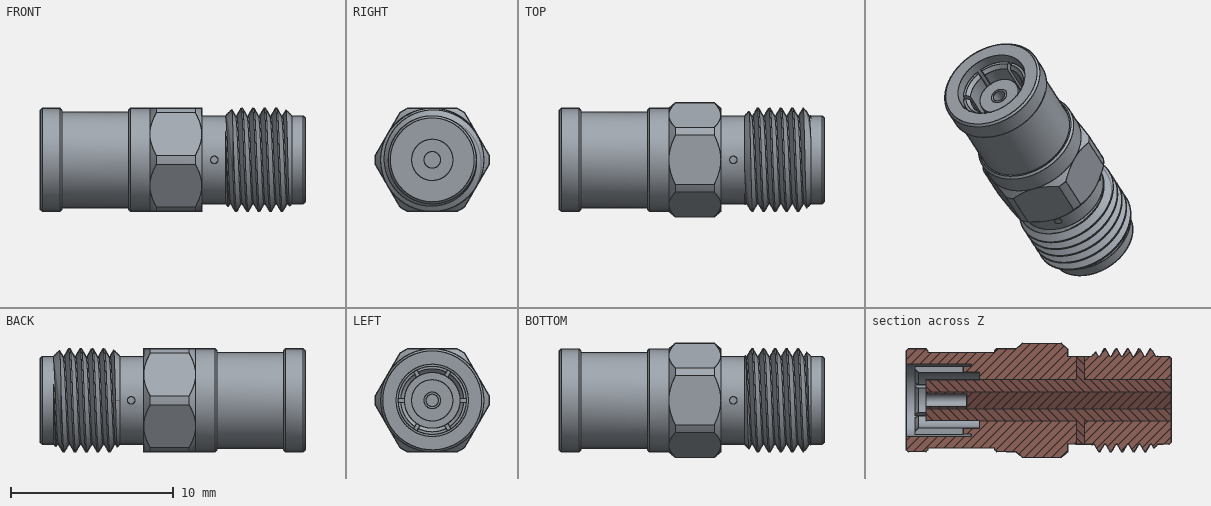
import cadquery as cq
import math


total_length = 16.31
flange_end = 1.35
collar_start = 5.42
hex_start = 6.75
hex_end = 9.94
thread_start = 11.4
thread_end = 15.48

flange_diameter = 6.35
barrel_diameter = 5.91
neck_diameter = 5.42
hex_across_flats = 6.35
hex_corner_diameter = 7.04
hex_chamfer_length = 0.4
edge_chamfer = 0.13

thread_diameter = 6.35
thread_pitch = 25.4 / 36
thread_crest_width = thread_pitch / 8
thread_half_angle = math.radians(30)
thread_crest_at_top = 12.4
thread_root_overlap = 0.03
taper_clearance = 0.2

socket_diameter = 4.45
finger_outer_diameter = 4.19
finger_tip_diameter = 3.87
finger_bore_diameter = 3.43
finger_tip = 0.53
finger_gap_end = 4.0
finger_bore_end = 4.5
finger_slot_end = 3.5
finger_slot_width = 0.25
finger_slot_count = 6

insulator_diameter = 2.54
insulator_start = 1.22
plug_diameter = 0.46
plug_x = 10.71
plug_count = 4
contact_diameter = 1.02
contact_bore_diameter = 0.76
contact_bore_depth = 2.5


def cylinder(diameter, start, end):
    """Solid cylinder on the X axis."""
    return cq.Workplane("YZ", origin=(start, 0, 0)).circle(diameter / 2).extrude(end - start)


def revolved(outline):
    """Solid of revolution about X from (x, radius) points."""
    return cq.Workplane("XY").polyline(outline).close().revolve(360, (0, 0, 0), (1, 0, 0))


def outer_shell():
    """Flange, barrel, collar and neck, turned in one piece."""
    flange = cylinder(flange_diameter, 0, flange_end).edges().chamfer(edge_chamfer)
    barrel = cylinder(barrel_diameter, flange_end, collar_start)
    collar = cylinder(flange_diameter, collar_start, hex_start).faces("<X").edges().chamfer(edge_chamfer)
    neck = cylinder(neck_diameter, hex_start, total_length).faces(">X").edges().chamfer(edge_chamfer)
    return flange.union(barrel).union(collar).union(neck)


def hex_nut():
    """Hexagon with flats facing +Z and -Z, its corners turned down and coned at both ends."""
    corner_to_corner = hex_across_flats / math.cos(math.pi / 6)
    prism = (
        cq.Workplane("YZ", origin=(hex_start, 0, 0))
        .polygon(6, corner_to_corner)
        .extrude(hex_end - hex_start)
    )
    end_radius = hex_across_flats / 2
    corner_radius = hex_corner_diameter / 2
    turned = revolved([
        (hex_start, 0),
        (hex_start, end_radius),
        (hex_start + hex_chamfer_length, corner_radius),
        (hex_end - hex_chamfer_length, corner_radius),
        (hex_end, end_radius),
        (hex_end, 0),
    ])
    return prism.intersect(turned)


def thread():
    """Right-hand helical ridge, tapered off at 45 degrees at both ends."""
    crest_radius = thread_diameter / 2
    foot_radius = neck_diameter / 2 - thread_root_overlap
    thread_height = crest_radius - foot_radius
    half_crest = thread_crest_width / 2
    half_foot = half_crest + thread_height * math.tan(thread_half_angle)

    turns_before = math.ceil((thread_crest_at_top - thread_start) / thread_pitch) + 1
    turns_after = math.ceil((thread_end - thread_crest_at_top) / thread_pitch) + 1
    helix_length = (turns_before + turns_after) * thread_pitch
    ridge_start = thread_crest_at_top - turns_before * thread_pitch

    corners = [
        (foot_radius, -half_foot),
        (crest_radius, -half_crest),
        (crest_radius, half_crest),
        (foot_radius, half_foot),
    ]
    edges = []
    for radius, shift in corners:
        helix = cq.Wire.makeHelix(thread_pitch, helix_length, radius)
        edges.append(helix.translate(cq.Vector(0, 0, shift)))
    faces = []
    for index, edge in enumerate(edges):
        faces.extend(cq.Face.makeRuledSurface(edges[index - 1], edge).Faces())
    for end in (0, 1):
        outline = cq.Wire.makePolygon([edge.positionAt(end) for edge in edges], close=True)
        faces.append(cq.Face.makeFromWires(outline))
    ridge = (
        cq.Workplane(obj=cq.Solid.makeSolid(cq.Shell.makeShell(faces)))
        .rotate((0, 0, 0), (0, 1, 0), 90)
        .rotate((0, 0, 0), (1, 0, 0), 180)
        .translate((ridge_start, 0, 0))
    )
    taper_start = thread_start - thread_root_overlap
    taper_end = thread_end + thread_root_overlap
    taper_height = thread_height + taper_clearance
    inner_radius = foot_radius - taper_clearance
    envelope = revolved([
        (taper_start, inner_radius),
        (taper_start, foot_radius),
        (taper_start + taper_height, foot_radius + taper_height),
        (taper_end - taper_height, foot_radius + taper_height),
        (taper_end, foot_radius),
        (taper_end, inner_radius),
    ])
    return ridge.intersect(envelope)


def socket_cavity():
    """Open socket mouth with a slotted ring of spring fingers left standing in it."""
    tip_chamfer = (finger_tip_diameter - finger_bore_diameter) / 2
    fingers = cylinder(finger_outer_diameter, finger_tip, finger_gap_end)
    mouth = cylinder(socket_diameter, 0, finger_gap_end).cut(fingers)
    bore = cylinder(finger_bore_diameter, finger_tip, finger_bore_end)
    tip_cone = revolved([
        (finger_tip, 0),
        (finger_tip, finger_tip_diameter / 2),
        (finger_tip + tip_chamfer, finger_bore_diameter / 2),
        (finger_tip + tip_chamfer, 0),
    ])
    cavity = mouth.union(bore).union(tip_cone)
    ring = cylinder(finger_outer_diameter, finger_tip, finger_slot_end)
    for index in range(finger_slot_count // 2):
        slot = (
            cq.Workplane("XY")
            .box(finger_slot_end, finger_outer_diameter, finger_slot_width, centered=(False, True, True))
            .rotate((0, 0, 0), (1, 0, 0), index * 360 / finger_slot_count)
        )
        cavity = cavity.union(slot.intersect(ring))
    return cavity


def insulator_blank():
    """Insulator without its contact bore, with plugs that end flush with the neck."""
    blank = cylinder(insulator_diameter, insulator_start, total_length)
    neck = cylinder(neck_diameter, hex_end, thread_start)
    for index in range(plug_count):
        plug = (
            cq.Workplane("XY", origin=(plug_x, 0, 0))
            .circle(plug_diameter / 2)
            .extrude(neck_diameter)
            .rotate((0, 0, 0), (1, 0, 0), index * 360 / plug_count)
        )
        blank = blank.union(plug.intersect(neck))
    return blank


def make_housing():
    """Metal housing with every outside and inside feature."""
    outside = outer_shell().union(hex_nut()).union(thread())
    return outside.cut(socket_cavity()).cut(insulator_blank())


def make_insulator():
    """Insulator with a through bore for the contact."""
    return insulator_blank().cut(cylinder(contact_diameter, insulator_start, total_length))


def make_contact():
    """Center contact with a blind receptacle in the socket end."""
    receptacle = cylinder(contact_bore_diameter, insulator_start, insulator_start + contact_bore_depth)
    return cylinder(contact_diameter, insulator_start, total_length).cut(receptacle)


housing = make_housing().solids()
insulator = make_insulator().solids()
contact = make_contact().solids()

result = cq.Compound.makeCompound([housing.val(), insulator.val(), contact.val()])